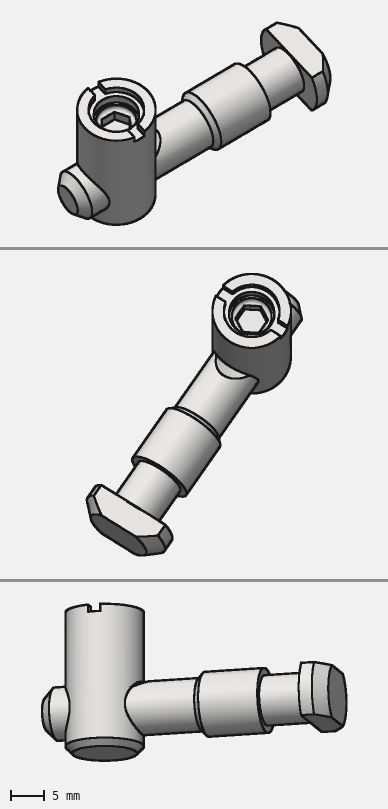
import cadquery as cq
import math


bolt_length = 45.0
bolt_tip_y = -9.0
bolt_back_y = bolt_tip_y + bolt_length
rod_radius = 4.0
tip_chamfer = 1.55
head_radius = 6.98
head_thickness = 4.0
head_chamfer = 2.0
head_height = 2 * rod_radius
neck_radius = 3.8
neck_length = 7.0
collar_radius = 4.85
collar_length = 10.0
collar_chamfer = collar_radius - rod_radius

seat_radius = 5.45
seat_depth = seat_radius
seat_y = 2.1

barrel_radius = 5.85
barrel_top_z = 15.05
barrel_height = 21.5
barrel_bottom_z = barrel_top_z - barrel_height
barrel_chamfer = 1.05
bore_radius = 3.38
counterbore_radius = 4.15
slot_width = 1.9
slot_depth = 1.1

screw_radius = bore_radius
screw_top_z = 12.38
screw_length = screw_top_z - rod_radius
recess_radius = 2.95
recess_depth = 1.05
recess_fillet = 0.65
socket_across_flats = 4.2
socket_corner_diameter = socket_across_flats / math.cos(math.radians(30))
socket_depth = 1.8


def make_bolt():
    head_front_y = bolt_back_y - head_thickness
    collar_back_y = head_front_y - neck_length
    collar_front_y = collar_back_y - collar_length
    profile = [
        (0, bolt_tip_y),
        (rod_radius - tip_chamfer, bolt_tip_y),
        (rod_radius, bolt_tip_y + tip_chamfer),
        (rod_radius, collar_front_y),
        (collar_radius, collar_front_y + collar_chamfer),
        (collar_radius, collar_back_y),
        (neck_radius, collar_back_y),
        (neck_radius, head_front_y),
        (head_radius, head_front_y),
        (head_radius, bolt_back_y - head_chamfer),
        (head_radius - head_chamfer, bolt_back_y),
        (0, bolt_back_y),
    ]
    turned = cq.Workplane("XY").polyline(profile).close().revolve(360, (0, 0, 0), (0, 1, 0))

    flat_height = head_radius - head_height / 2
    for side in (-1, 1):
        flat = (
            cq.Workplane("XY")
            .box(2 * head_radius, head_thickness, flat_height)
            .translate((0, bolt_back_y - head_thickness / 2, side * (head_height + flat_height) / 2))
        )
        turned = turned.cut(flat)

    seat = cq.Solid.makeCone(
        seat_radius, 0, seat_depth, cq.Vector(0, seat_y, rod_radius), cq.Vector(0, 0, -1)
    )
    return turned.cut(cq.Workplane(seat))


def make_barrel():
    barrel = (
        cq.Workplane("XY", origin=(0, 0, barrel_bottom_z))
        .circle(barrel_radius)
        .extrude(barrel_height)
        .faces("<Z")
        .chamfer(barrel_chamfer)
    )
    rod_hole = cq.Workplane("XZ").circle(rod_radius).extrude(barrel_radius, both=True)
    bore = cq.Workplane("XY").circle(bore_radius).extrude(barrel_top_z)
    top = cq.Workplane("XY", origin=(0, 0, barrel_top_z))
    counterbore = top.circle(counterbore_radius).extrude(-slot_depth)
    slot = top.rect(2 * barrel_radius, slot_width).extrude(-slot_depth)
    return barrel.cut(rod_hole).cut(bore).cut(counterbore).cut(slot)


def make_set_screw():
    screw = cq.Workplane("XY", origin=(0, 0, rod_radius)).circle(screw_radius).extrude(screw_length)
    recess = (
        cq.Workplane("XY", origin=(0, 0, screw_top_z))
        .circle(recess_radius)
        .extrude(-recess_depth)
        .faces("<Z")
        .edges()
        .fillet(recess_fillet)
    )
    socket = (
        cq.Workplane("XY", origin=(0, 0, screw_top_z - recess_depth))
        .transformed(rotate=(0, 0, 90))
        .polygon(6, socket_corner_diameter)
        .extrude(-socket_depth)
    )
    return screw.cut(recess).cut(socket)


bolt = make_bolt()
barrel = make_barrel()
set_screw = make_set_screw()

result = cq.Compound.makeCompound([bolt.val(), barrel.val(), set_screw.val()])